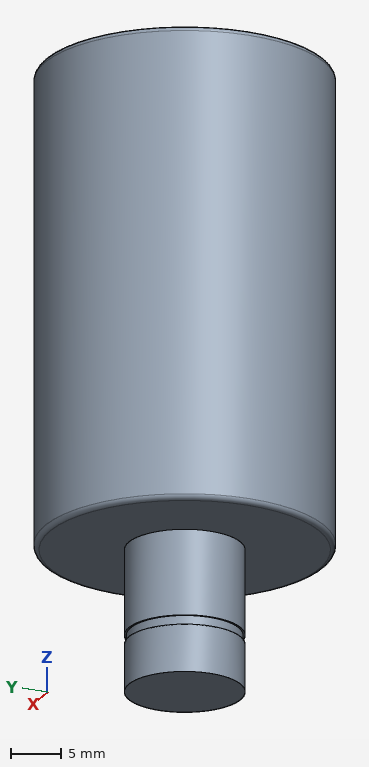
import cadquery as cq

total_height = 65.0
body_diameter = 30.0
body_height = 50.0
rim_radius = 0.5
stem_diameter = 12.0
groove_diameter = 11.65
groove_bottom = 5.0
groove_width = 1.0

stem_height = total_height - body_height


def cylinder(diameter, bottom, height):
    """Solid cylinder on the Z axis, rising from the given level."""
    return cq.Workplane("XY").workplane(offset=bottom).circle(diameter / 2).extrude(height)


body = cylinder(body_diameter, stem_height, body_height).edges().fillet(rim_radius)

groove = cylinder(stem_diameter, groove_bottom, groove_width).cut(
    cylinder(groove_diameter, groove_bottom, groove_width)
)
stem = cylinder(stem_diameter, 0, stem_height).cut(groove)

result = body.union(stem)